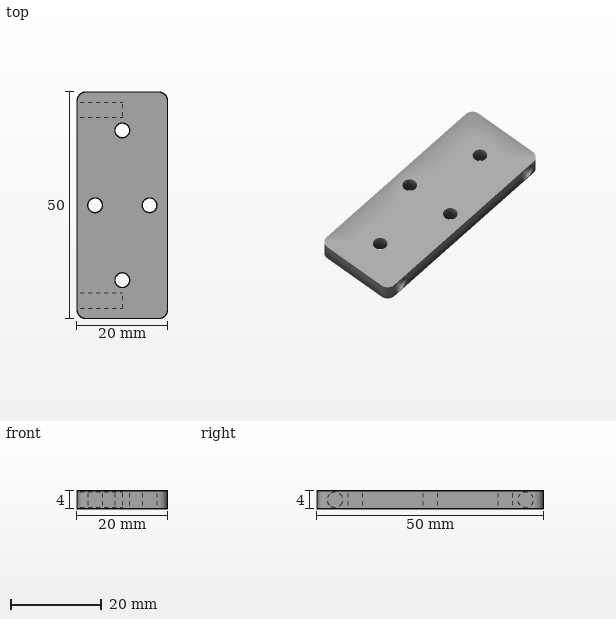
import cadquery as cq

length = 50.0
width = 20.0
thickness = 4.0
corner_radius = 2.0

through_diameter = 3.2
end_hole_offset = 16.5
side_hole_offset = 6.0

edge_hole_diameter = 3.4
edge_hole_depth = 10.0
edge_hole_inset = 4.0
edge_hole_offset = length / 2 - edge_hole_inset


def make_plate():
    plate = cq.Workplane("XY").box(width, length, thickness)
    return plate.edges("|Z").fillet(corner_radius)


def make_through_holes():
    centers = [
        (0, end_hole_offset),
        (0, -end_hole_offset),
        (side_hole_offset, 0),
        (-side_hole_offset, 0),
    ]
    holes = cq.Workplane("XY").pushPoints(centers)
    return holes.circle(through_diameter / 2).extrude(thickness, both=True)


def make_edge_holes():
    centers = [(-edge_hole_offset, 0), (edge_hole_offset, 0)]
    holes = cq.Workplane("YZ", origin=(-width / 2, 0, 0)).pushPoints(centers)
    return holes.circle(edge_hole_diameter / 2).extrude(edge_hole_depth)


result = make_plate().cut(make_through_holes()).cut(make_edge_holes())